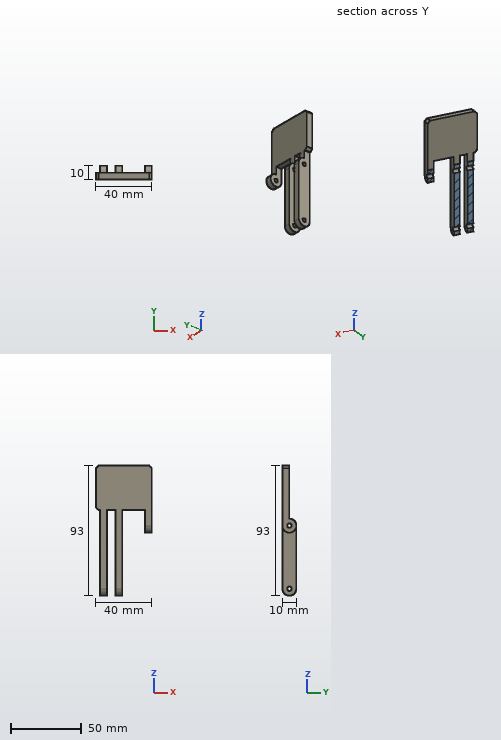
import cadquery as cq

total_height = 93.0
plate_width = 40.0
plate_height = 32.0
thickness = 5.0
corner_chamfer = 2.0
hole_diameter = 3.0
pivot_spacing = 45.0
first_arm_x = 3.0
second_arm_x = 13.95

end_radius = thickness
arm_depth = 2 * end_radius
lower_pivot_z = end_radius
upper_pivot_z = lower_pivot_z + pivot_spacing
plate_bottom = total_height - plate_height
short_arm_x = plate_width - thickness


def make_plate():
    """Flat plate with three chamfered corners; the one above the short arm is square."""
    right = plate_width
    top = total_height
    outline = [
        (corner_chamfer, plate_bottom),
        (right, plate_bottom),
        (right, top - corner_chamfer),
        (right - corner_chamfer, top),
        (corner_chamfer, top),
        (0, top - corner_chamfer),
        (0, plate_bottom + corner_chamfer),
    ]
    return cq.Workplane("XZ").polyline(outline).close().extrude(-thickness)


def make_arm(left_x, tip_pivot_z):
    """Arm with a round tip, a rounded rear shoulder and a neck up to the plate."""
    pivot_span = upper_pivot_z - tip_pivot_z
    section = cq.Workplane("YZ", origin=(left_x, 0, 0))
    arm = section.center(end_radius, tip_pivot_z).circle(end_radius).extrude(thickness)
    if pivot_span > 0:
        shank = section.center(0, tip_pivot_z).rect(arm_depth, pivot_span, centered=False)
        arm = arm.union(shank.extrude(thickness))
        arm = arm.union(section.center(end_radius, upper_pivot_z).circle(end_radius).extrude(thickness))
    neck_height = plate_bottom - tip_pivot_z
    neck = section.center(0, tip_pivot_z).rect(thickness, neck_height, centered=False)
    return arm.union(neck.extrude(thickness))


def make_pivot_hole(pivot_z):
    """Cutter along X through every arm at one pivot height."""
    section = cq.Workplane("YZ").center(end_radius, pivot_z)
    return section.circle(hole_diameter / 2).extrude(plate_width)


result = make_plate()
for arm_x in (first_arm_x, second_arm_x):
    result = result.union(make_arm(arm_x, lower_pivot_z))
result = result.union(make_arm(short_arm_x, upper_pivot_z))
for pivot_height in (lower_pivot_z, upper_pivot_z):
    result = result.cut(make_pivot_hole(pivot_height))